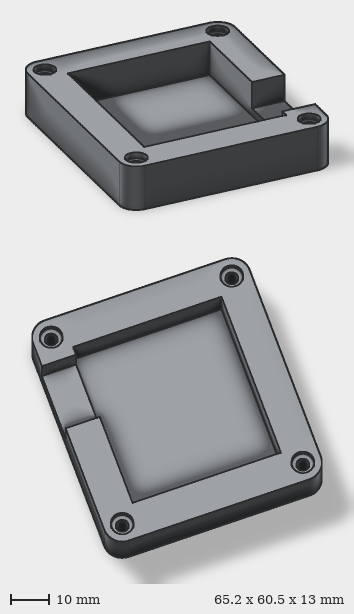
import cadquery as cq

length = 65.25
width = 60.5
height = 13.0
corner_radius = 5.0

wall = 9.5
pocket_depth = 10.0

notch_width = 18.4
notch_left_offset = 35.05
notch_depth = 7.8

hole_diameter = 3.4
counterbore_diameter = 6.0
counterbore_depth = 1.8


def make_block():
    block = cq.Workplane("XY").box(length, width, height, centered=(True, True, False))
    return block.edges("|Z").fillet(corner_radius)


def cut_pocket(body):
    return body.faces(">Z").workplane().rect(length - 2 * wall, width - 2 * wall).cutBlind(-pocket_depth)


def cut_notch(body):
    notch = (
        cq.Workplane("XY")
        .box(notch_width, wall, notch_depth, centered=False)
        .translate((notch_left_offset - length / 2, width / 2 - wall, height - notch_depth))
    )
    return body.cut(notch)


def cut_screw_holes(body):
    hole_x = length / 2 - corner_radius
    hole_y = width / 2 - corner_radius
    centers = [(sx * hole_x, sy * hole_y) for sx in (-1, 1) for sy in (-1, 1)]
    return (
        body.faces(">Z")
        .workplane(origin=(0, 0, height))
        .pushPoints(centers)
        .cboreHole(hole_diameter, counterbore_diameter, counterbore_depth)
    )


body = cut_pocket(make_block())
body = cut_notch(body)
result = cut_screw_holes(body)